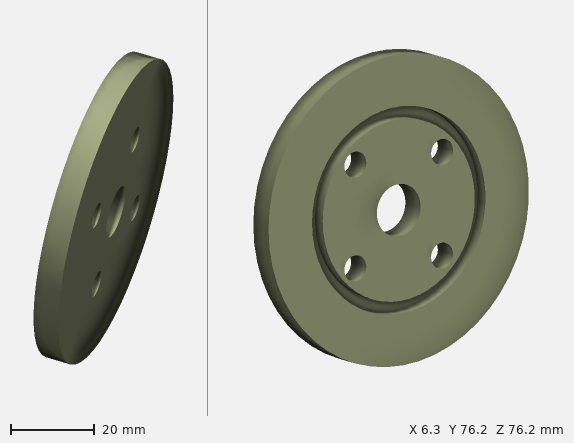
import cadquery as cq

outer_diameter = 76.2
thickness = 6.3
front_face_x = -thickness / 2

groove_outer_diameter = 50.75
hub_diameter = 44.5
groove_depth = 3.2

bore_diameter = 12.8
bolt_hole_diameter = 6.4
bolt_spacing = 25.4


def front_face():
    """Workplane on the -X face; extrusions run toward +X."""
    return cq.Workplane("YZ", origin=(front_face_x, 0, 0))


def make_disc():
    return front_face().circle(outer_diameter / 2).extrude(thickness)


def make_groove():
    return (
        front_face()
        .circle(groove_outer_diameter / 2)
        .circle(hub_diameter / 2)
        .extrude(groove_depth)
    )


def make_bore():
    return front_face().circle(bore_diameter / 2).extrude(thickness)


def make_bolt_holes():
    """Four through holes at the corners of a square."""
    return (
        front_face()
        .rect(bolt_spacing, bolt_spacing, forConstruction=True)
        .vertices()
        .circle(bolt_hole_diameter / 2)
        .extrude(thickness)
    )


result = make_disc().cut(make_groove()).cut(make_bore()).cut(make_bolt_holes())